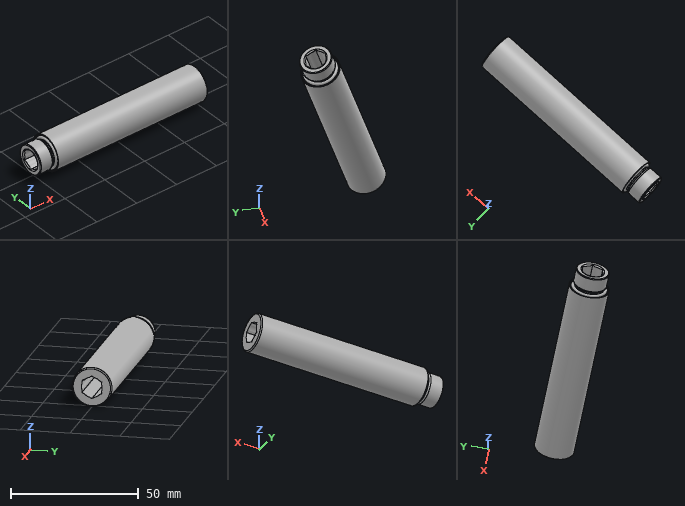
import cadquery as cq
import math

length = 83.0
body_diameter = 16.0
body_radius = body_diameter / 2
body_start = 7.8
body_chamfer = 0.5

spigot_radius = 6.6
spigot_end = 5.8
spigot_lead_chamfer = 0.3
spigot_back_radius = 6.2
undercut_start = 6.55
undercut_radius = 5.9

recess_radius = 7.7
recess_depth = 0.7
bead_radius = 0.75
bead_center_radius = 6.55

hex_sides = 6
hex_across_flats = 8.0
hex_corner_radius = hex_across_flats / math.sqrt(3)
pilot_radius = 4.15
mouth_radius = 4.7
mouth_depth = 0.6


def make_turned_body():
    """Revolve the outer profile, drawn as (axial position, radius)."""
    profile = (
        cq.Workplane("XY")
        .moveTo(0, 0)
        .lineTo(0, spigot_radius - spigot_lead_chamfer)
        .lineTo(spigot_lead_chamfer, spigot_radius)
        .lineTo(spigot_end, spigot_radius)
        .lineTo(undercut_start, spigot_back_radius)
        .lineTo(undercut_start, undercut_radius)
        .lineTo(body_start, undercut_radius)
        .lineTo(body_start + recess_depth, bead_center_radius)
        .lineTo(body_start, recess_radius)
        .lineTo(body_start, body_radius)
        .lineTo(length - body_chamfer, body_radius)
        .lineTo(length, body_radius - body_chamfer)
        .lineTo(length, 0)
        .close()
    )
    return profile.revolve(360, (0, 0, 0), (1, 0, 0))


def make_bead():
    """Ring of circular section seated in the recess, half of it ahead of the shoulder."""
    section = cq.Workplane("XY").center(body_start, bead_center_radius).circle(bead_radius)
    return section.revolve(360, (0, -bead_center_radius, 0), (1, -bead_center_radius, 0))


def make_bore():
    """Through hexagon and round pilot with a conical mouth at the spigot end."""
    hexagon = (
        cq.Workplane("YZ")
        .polygon(hex_sides, 2 * hex_corner_radius)
        .extrude(length)
        .rotate((0, 0, 0), (1, 0, 0), 90)
    )
    pilot = cq.Workplane("YZ").circle(pilot_radius).extrude(length)
    mouth = (
        cq.Workplane("XY")
        .moveTo(0, 0)
        .lineTo(0, mouth_radius)
        .lineTo(mouth_depth, pilot_radius)
        .lineTo(mouth_depth, 0)
        .close()
        .revolve(360, (0, 0, 0), (1, 0, 0))
    )
    return hexagon.union(pilot).union(mouth)


result = make_turned_body().union(make_bead()).cut(make_bore())